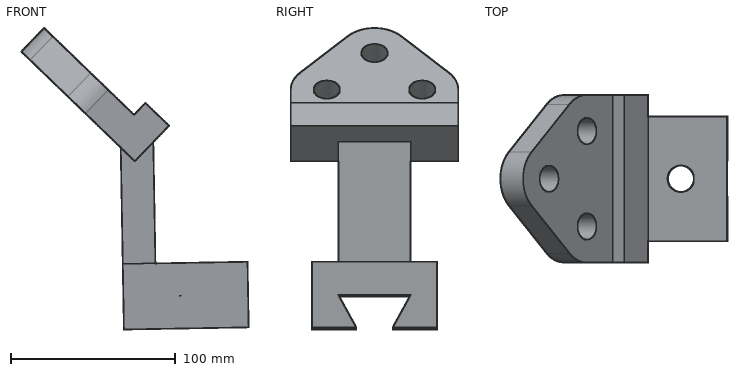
import cadquery as cq
import math

LEAN_ANGLE = 1.0

BASE_LENGTH = 76.0
BASE_WIDTH = 76.0
BASE_HEIGHT = 40.0
SLOT_DEPTH = BASE_HEIGHT / 2
SLOT_TOP_WIDTH = 44.0
SLOT_MOUTH_WIDTH = SLOT_TOP_WIDTH / 2

POST_THICKNESS = 20.0
POST_WIDTH = SLOT_TOP_WIDTH
POST_REAR_HEIGHT = 50.0 * math.sqrt(2)

PLATE_ANGLE = 45.0
PLATE_WIDTH = 102.0
PLATE_THICKNESS = 20.0
CORNER_RADIUS = 22.0
NOSE_TO_SIDE_HOLES = 32.0
STRAIGHT_FLANK = 42.0
LIP_LENGTH = 20.0
LIP_HEIGHT = 10.0
POST_TO_HEEL = 12.0

HOLE_DIAMETER = 16.0

SIDE_CENTRE_X = -STRAIGHT_FLANK
SIDE_CENTRE_Y = PLATE_WIDTH / 2 - CORNER_RADIUS
NOSE_CENTRE_X = SIDE_CENTRE_X - NOSE_TO_SIDE_HOLES

INCLINE = math.radians(PLATE_ANGLE)
HEEL_X = POST_TO_HEEL * math.cos(INCLINE)
HEEL_Z = BASE_HEIGHT + POST_REAR_HEIGHT - POST_TO_HEEL * math.sin(INCLINE)


def make_base():
    """Block with a dovetail slot along X and a vertical hole into the slot."""
    block = cq.Workplane("XY").box(
        BASE_LENGTH, BASE_WIDTH, BASE_HEIGHT, centered=(False, True, False)
    )
    slot = (
        cq.Workplane("YZ")
        .moveTo(-SLOT_MOUTH_WIDTH / 2, 0)
        .lineTo(SLOT_MOUTH_WIDTH / 2, 0)
        .lineTo(SLOT_TOP_WIDTH / 2, SLOT_DEPTH)
        .lineTo(-SLOT_TOP_WIDTH / 2, SLOT_DEPTH)
        .close()
        .extrude(BASE_LENGTH)
    )
    hole_x = (POST_THICKNESS + BASE_LENGTH) / 2
    hole = cq.Workplane("XY").center(hole_x, 0).circle(HOLE_DIAMETER / 2).extrude(BASE_HEIGHT)
    return block.cut(slot).cut(hole)


def make_post():
    """Post standing on the base, its top cut to meet the plate's underside and heel face."""
    top_of_base = BASE_HEIGHT
    front_z = HEEL_Z + (POST_THICKNESS - HEEL_X) / math.tan(INCLINE)
    return (
        cq.Workplane("XZ")
        .moveTo(0, top_of_base)
        .lineTo(POST_THICKNESS, top_of_base)
        .lineTo(POST_THICKNESS, front_z)
        .lineTo(HEEL_X, HEEL_Z)
        .lineTo(0, top_of_base + POST_REAR_HEIGHT)
        .close()
        .extrude(POST_WIDTH / 2, both=True)
    )


def make_plate():
    """Plate lying flat: underside on Z = 0, heel edge on X = 0, nose toward -X."""
    edge_angle = math.atan2(SIDE_CENTRE_Y, NOSE_TO_SIDE_HOLES)
    normal_x = -CORNER_RADIUS * math.sin(edge_angle)
    normal_y = CORNER_RADIUS * math.cos(edge_angle)
    middle_angle = edge_angle / 2
    middle_x = SIDE_CENTRE_X - CORNER_RADIUS * math.sin(middle_angle)
    middle_y = SIDE_CENTRE_Y + CORNER_RADIUS * math.cos(middle_angle)

    side_tangent_x = SIDE_CENTRE_X + normal_x
    side_tangent_y = SIDE_CENTRE_Y + normal_y
    nose_tangent_x = NOSE_CENTRE_X + normal_x
    half_width = PLATE_WIDTH / 2

    plate = (
        cq.Workplane("XY")
        .moveTo(0, -half_width)
        .lineTo(0, half_width)
        .lineTo(SIDE_CENTRE_X, half_width)
        .threePointArc((middle_x, middle_y), (side_tangent_x, side_tangent_y))
        .lineTo(nose_tangent_x, normal_y)
        .threePointArc((NOSE_CENTRE_X - CORNER_RADIUS, 0), (nose_tangent_x, -normal_y))
        .lineTo(side_tangent_x, -side_tangent_y)
        .threePointArc((middle_x, -middle_y), (SIDE_CENTRE_X, -half_width))
        .close()
        .extrude(PLATE_THICKNESS)
    )
    lip = (
        cq.Workplane("XY")
        .center(-LIP_LENGTH / 2, 0)
        .rect(LIP_LENGTH, PLATE_WIDTH)
        .extrude(PLATE_THICKNESS + LIP_HEIGHT)
    )
    hole_centres = [
        (NOSE_CENTRE_X, 0),
        (SIDE_CENTRE_X, SIDE_CENTRE_Y),
        (SIDE_CENTRE_X, -SIDE_CENTRE_Y),
    ]
    holes = (
        cq.Workplane("XY")
        .pushPoints(hole_centres)
        .circle(HOLE_DIAMETER / 2)
        .extrude(PLATE_THICKNESS)
    )
    return plate.union(lip).cut(holes)


def rotate_about_y(shape, angle):
    """Turn about the Y axis; a positive angle lowers the +X side."""
    return shape.rotate((0, 0, 0), (0, 1, 0), angle)


inclined_plate = rotate_about_y(make_plate(), PLATE_ANGLE).translate((HEEL_X, 0, HEEL_Z))
bracket = make_base().union(make_post()).union(inclined_plate)
result = rotate_about_y(bracket, -LEAN_ANGLE)